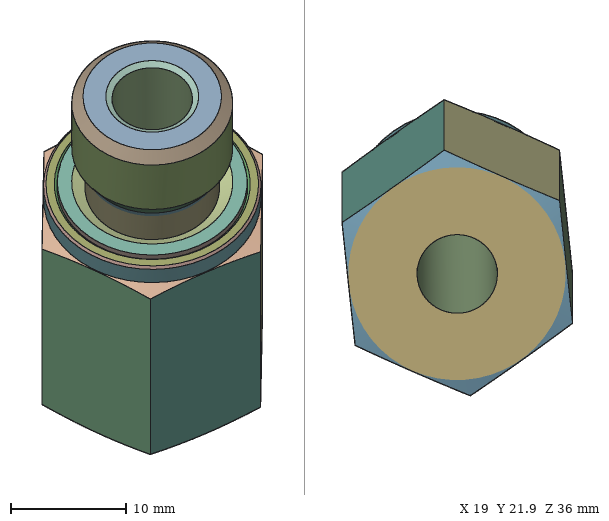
import cadquery as cq
import math

across_flats = 19.0
across_corners = across_flats / math.cos(math.radians(30))
hex_top = 22.05
hex_chamfer_angle = 15
total_height = 36

flange_radius = 18.9 / 2
flange_top = 24.05
flange_chamfer = 0.2

neck_radius = 11.7 / 2
neck_top = 26.7
cone_bottom_radius = 11.9 / 2
cone_bottom = 27.3
thread_radius = 14.0 / 2
thread_bottom = 29.05
thread_chamfer_width = 0.99
thread_chamfer_height = 0.9

bore_radius = 7.0 / 2
bore_mouth_radius = 8.05 / 2
bore_mouth_depth = 0.32

groove_radius = 16.6 / 2
groove_chamfer = 0.2
groove_depth = 1.45
groove_floor = flange_top - groove_depth
ring_top = 24.35
ring_outer_radius = 16.5 / 2
ring_inner_radius = neck_radius
ring_mouth_radius = 14.0 / 2
ring_mouth_depth = 0.8


def revolve_profile(points):
    """Revolve a closed (radius, height) outline about Z."""
    return cq.Workplane("XZ").polyline(points).close().revolve(360, (0, 0, 0), (0, 1, 0))


def make_hexagon():
    """Hexagonal prism whose corners are cut by a shallow cone at each end."""
    prism = cq.Workplane("XY").polygon(6, across_corners).extrude(hex_top)
    prism = prism.rotate((0, 0, 0), (0, 0, 1), 30)
    corner_radius = across_corners / 2
    corner_drop = (corner_radius - flange_radius) * math.tan(math.radians(hex_chamfer_angle))
    envelope = revolve_profile([
        (0, 0),
        (flange_radius, 0),
        (corner_radius, corner_drop),
        (corner_radius, hex_top - corner_drop),
        (flange_radius, hex_top),
        (0, hex_top),
    ])
    return prism.intersect(envelope)


def make_stud():
    """Flange, seal groove, neck and threaded end as one turned shape."""
    return revolve_profile([
        (0, hex_top),
        (flange_radius, hex_top),
        (flange_radius, flange_top - flange_chamfer),
        (flange_radius - flange_chamfer, flange_top),
        (groove_radius + groove_chamfer, flange_top),
        (groove_radius, flange_top - groove_chamfer),
        (groove_radius, groove_floor),
        (neck_radius, groove_floor),
        (neck_radius, neck_top),
        (cone_bottom_radius, cone_bottom),
        (thread_radius, thread_bottom),
        (thread_radius, total_height - thread_chamfer_height),
        (thread_radius - thread_chamfer_width, total_height),
        (0, total_height),
    ])


def make_bore():
    """Cutter for the through bore and its countersink."""
    return revolve_profile([
        (0, 0),
        (bore_radius, 0),
        (bore_radius, total_height - bore_mouth_depth),
        (bore_mouth_radius, total_height),
        (0, total_height),
    ])


def make_seal_ring():
    """Ring resting on the groove floor, with a conical inner mouth."""
    return revolve_profile([
        (ring_inner_radius, groove_floor),
        (ring_outer_radius, groove_floor),
        (ring_outer_radius, ring_top),
        (ring_mouth_radius, ring_top),
        (ring_inner_radius, ring_top - ring_mouth_depth),
    ])


fitting = make_hexagon().union(make_stud()).cut(make_bore())
seal_ring = make_seal_ring()

result = cq.Compound.makeCompound([fitting.val(), seal_ring.val()])